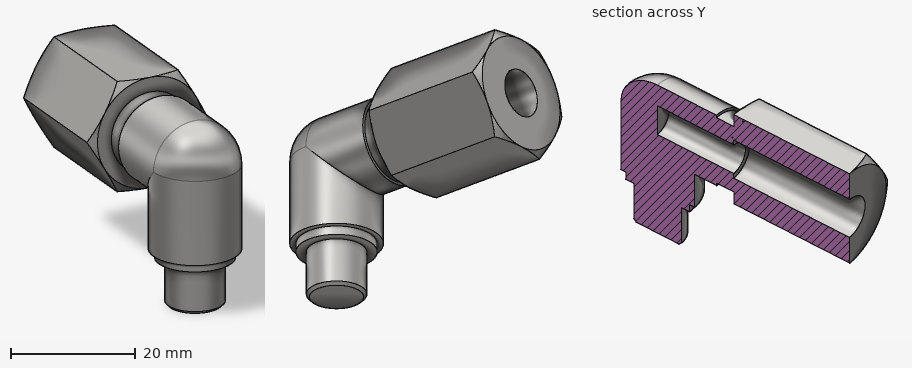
import cadquery as cq
import math


total_length = 46.5

body_diameter = 15.0
body_radius = body_diameter / 2
horizontal_arm_length = 12.0
vertical_arm_length = 14.5

neck_diameter = 14.0
neck_length = 3.5

nut_across_flats = 19.0
nut_across_corners = nut_across_flats / math.cos(math.radians(30))
nut_chamfer_angle = 30.0
nut_length = total_length - body_radius - horizontal_arm_length - neck_length

body_end_x = -horizontal_arm_length
nut_inner_x = body_end_x - neck_length
nut_outer_x = nut_inner_x - nut_length

collar_diameter = 13.0
collar_length = 1.5
spigot_diameter = 9.7
spigot_length = 8.0
spigot_chamfer = 0.5

socket_diameter = 8.0
socket_depth = nut_length
passage_diameter = 6.0
passage_depth = -nut_outer_x


def rod_along_x(start_x, length, diameter):
    """Cylinder on the horizontal axis, running toward +X from start_x."""
    return cq.Workplane("YZ", origin=(start_x, 0, 0)).circle(diameter / 2).extrude(length)


def rod_downward(top_z, length, diameter):
    """Cylinder on the vertical axis, running down from top_z."""
    return cq.Workplane("XY", origin=(0, 0, top_z)).circle(diameter / 2).extrude(-length)


def make_body():
    """Two equal arms mitred together, with a spherical outer corner."""
    horizontal_arm = rod_along_x(body_end_x, horizontal_arm_length, body_diameter)
    vertical_arm = rod_downward(0, vertical_arm_length, body_diameter)
    corner = cq.Workplane("XY").sphere(body_radius)
    return horizontal_arm.union(vertical_arm).union(corner)


def make_nut():
    """Hexagonal prism with corners along Y and both ends turned to a cone."""
    prism = cq.Workplane("YZ", origin=(nut_outer_x, 0, 0)).polygon(6, nut_across_corners).extrude(nut_length)
    face_radius = nut_across_flats / 2
    corner_radius = nut_across_corners / 2
    cone_depth = (corner_radius - face_radius) * math.tan(math.radians(nut_chamfer_angle))
    turned_envelope = (
        cq.Workplane("XY")
        .moveTo(nut_outer_x, 0)
        .lineTo(nut_outer_x, face_radius)
        .lineTo(nut_outer_x + cone_depth, corner_radius)
        .lineTo(nut_inner_x - cone_depth, corner_radius)
        .lineTo(nut_inner_x, face_radius)
        .lineTo(nut_inner_x, 0)
        .close()
        .revolve(360, (0, 0, 0), (1, 0, 0))
    )
    return prism.intersect(turned_envelope)


def make_spigot():
    """Collar and chamfered spigot below the vertical arm."""
    collar_top_z = -vertical_arm_length
    spigot_top_z = collar_top_z - collar_length
    collar = rod_downward(collar_top_z, collar_length, collar_diameter)
    spigot = rod_downward(spigot_top_z, spigot_length, spigot_diameter)
    return collar.union(spigot.faces("<Z").chamfer(spigot_chamfer))


def make_bore():
    """Stepped bore entering from the outer face of the nut."""
    socket = rod_along_x(nut_outer_x, socket_depth, socket_diameter)
    passage = rod_along_x(nut_outer_x, passage_depth, passage_diameter)
    return socket.union(passage)


neck = rod_along_x(nut_inner_x, neck_length, neck_diameter)

result = make_body().union(neck).union(make_nut()).union(make_spigot()).cut(make_bore())